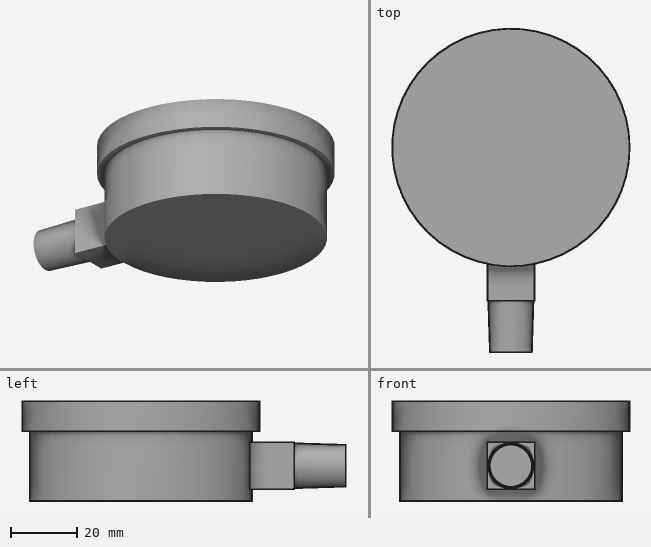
import cadquery as cq

body_diameter = 67.31
bezel_diameter = 71.88
bezel_height = 9.14
total_height = 30.23

stem_axis_height = 10.67
stem_end_y = -61.98
block_width = 14.29
block_end_y = -46.36
connection_root_diameter = 13.72
connection_tip_diameter = 12.74


def make_case():
    body_height = total_height - bezel_height
    body = cq.Workplane("XY").circle(body_diameter / 2).extrude(body_height)
    bezel = (
        cq.Workplane("XY")
        .workplane(offset=body_height)
        .circle(bezel_diameter / 2)
        .extrude(bezel_height)
    )
    return body.union(bezel)


def make_block():
    inner_end_y = -body_diameter / 4
    return (
        cq.Workplane("XZ", origin=(0, inner_end_y, stem_axis_height))
        .rect(block_width, block_width)
        .extrude(inner_end_y - block_end_y)
    )


def make_connection():
    length = block_end_y - stem_end_y
    return (
        cq.Workplane("XZ", origin=(0, block_end_y, stem_axis_height))
        .circle(connection_root_diameter / 2)
        .workplane(offset=length)
        .circle(connection_tip_diameter / 2)
        .loft(ruled=True)
    )


result = make_case().union(make_block()).union(make_connection())